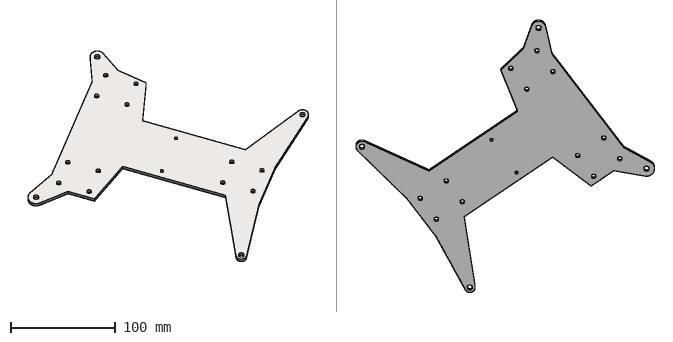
import cadquery as cq
import math

thickness = 4.0

ear_span_x = 207.3
ear_span_y = 176.4
ear_y = ear_span_y / 2
front_left_radius = 7.7
back_left_radius = 6.8
front_right_radius = 5.0
back_right_radius = 5.7
ear_hole_diameter = 5.0

left_edge_x = 5.0
left_edge_back_y = 59.2
left_edge_front_y = -58.0
right_edge_x = 203.3
right_edge_back_y = 20.5
waist_left_x = 65.8
waist_right_x = 169.7
waist_back_y = 31.0
waist_front_y = -26.5
back_shoulder_inner = (24.0, 79.5)
back_shoulder_outer = (54.3, 74.4)
front_shoulder_y = -71.7
front_shoulder_inner = (26.5, front_shoulder_y)
front_shoulder_outer = (53.2, front_shoulder_y)

mount_hole_diameter = 4.2
left_mount_xs = (14.8, 45.5)
left_mount_ys = (70.2, 44.1, -39.0, -65.1)
right_mount_xs = (162.2, 192.7)
right_mount_ys = (13.0, -13.0)
pilot_hole_diameter = 2.9
pilot_x = 102.9
pilot_ys = (21.9, -19.2)


def tangent_point(corner, center, radius, side):
    """Point where a line from the corner touches the circle; side +1 is counterclockwise."""
    dx = corner[0] - center[0]
    dy = corner[1] - center[1]
    angle = math.atan2(dy, dx) + side * math.acos(radius / math.hypot(dx, dy))
    return (center[0] + radius * math.cos(angle), center[1] + radius * math.sin(angle))


def add_ear(outline, before, center, radius, after):
    """Run counterclockwise from one corner, around the ear tip, to the next corner."""
    start = tangent_point(before, center, radius, 1)
    end = tangent_point(after, center, radius, -1)
    start_angle = math.atan2(start[1] - center[1], start[0] - center[0])
    end_angle = math.atan2(end[1] - center[1], end[0] - center[0])
    middle_angle = start_angle + ((end_angle - start_angle) % math.tau) / 2
    middle = (
        center[0] + radius * math.cos(middle_angle),
        center[1] + radius * math.sin(middle_angle),
    )
    return outline.lineTo(*start).threePointArc(middle, end).lineTo(*after)


front_left_ear = (0, -ear_y)
back_left_ear = (0, ear_y)
front_right_ear = (ear_span_x, -ear_y)
back_right_ear = (ear_span_x, ear_y)

left_edge_back = (left_edge_x, left_edge_back_y)
left_edge_front = (left_edge_x, left_edge_front_y)
right_edge_front = (right_edge_x, waist_front_y)
right_edge_back = (right_edge_x, right_edge_back_y)
waist_front_right = (waist_right_x, waist_front_y)
waist_back_right = (waist_right_x, waist_back_y)

outline = cq.Workplane("XY").moveTo(*left_edge_back).lineTo(*left_edge_front)
outline = add_ear(outline, left_edge_front, front_left_ear, front_left_radius, front_shoulder_inner)
outline = outline.lineTo(*front_shoulder_outer)
outline = outline.lineTo(waist_left_x, waist_front_y).lineTo(*waist_front_right)
outline = add_ear(outline, waist_front_right, front_right_ear, front_right_radius, right_edge_front)
outline = outline.lineTo(*right_edge_back)
outline = add_ear(outline, right_edge_back, back_right_ear, back_right_radius, waist_back_right)
outline = outline.lineTo(waist_left_x, waist_back_y).lineTo(*back_shoulder_outer)
outline = outline.lineTo(*back_shoulder_inner)
outline = add_ear(outline, back_shoulder_inner, back_left_ear, back_left_radius, left_edge_back)
plate = outline.close().extrude(thickness)


def through_holes(points, diameter):
    return cq.Workplane("XY").pushPoints(points).circle(diameter / 2).extrude(thickness)


ear_points = [front_left_ear, back_left_ear, front_right_ear, back_right_ear]
mount_points = [(x, y) for x in left_mount_xs for y in left_mount_ys]
mount_points += [(x, y) for x in right_mount_xs for y in right_mount_ys]
pilot_points = [(pilot_x, y) for y in pilot_ys]

result = (
    plate.cut(through_holes(ear_points, ear_hole_diameter))
    .cut(through_holes(mount_points, mount_hole_diameter))
    .cut(through_holes(pilot_points, pilot_hole_diameter))
)